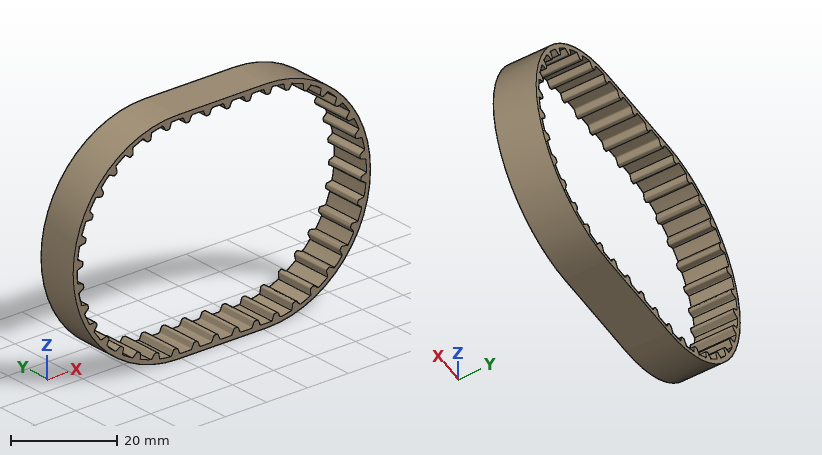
import cadquery as cq
import math

LENGTH = 72.6
HEIGHT = 50.8
BELT_WIDTH = 9.5
BACK_THICKNESS = 1.0

TOOTH_COUNT = 40
TOOTH_HEIGHT = 1.3
TOOTH_ROOT_WIDTH = 2.1
FLANK_ANGLE = 25.0
TOOTH_RADIUS = 0.35
FOOT_DEPTH = 0.35
REFERENCE_TOOTH_X = 1.45

STRAIGHT = LENGTH - HEIGHT
INNER_HEIGHT = HEIGHT - 2 * BACK_THICKNESS
INNER_RADIUS = INNER_HEIGHT / 2
HALF_TURN_LENGTH = math.pi * INNER_RADIUS
TOOTH_PITCH = 2 * (STRAIGHT + HALF_TURN_LENGTH) / TOOTH_COUNT


def obround(height):
    """Solid obround of the given height around the belt path, spanning the belt width."""
    return (
        cq.Workplane("XZ")
        .slot2D(STRAIGHT + height, height)
        .extrude(BELT_WIDTH / 2, both=True)
    )


def upright_tooth():
    """Tooth pointing down (-Z) on a thin foot, root line on the origin, root and tip rounded."""
    root_half = TOOTH_ROOT_WIDTH / 2
    tip_half = root_half - TOOTH_HEIGHT * math.tan(math.radians(FLANK_ANGLE))
    foot_half = root_half + TOOTH_RADIUS
    return (
        cq.Workplane("XZ")
        .moveTo(-foot_half, FOOT_DEPTH)
        .lineTo(-foot_half, 0)
        .lineTo(-root_half, 0)
        .lineTo(-tip_half, -TOOTH_HEIGHT)
        .lineTo(tip_half, -TOOTH_HEIGHT)
        .lineTo(root_half, 0)
        .lineTo(foot_half, 0)
        .lineTo(foot_half, FOOT_DEPTH)
        .close()
        .extrude(BELT_WIDTH / 2, both=True)
        .edges("|Y and (not <X) and (not >X)")
        .fillet(TOOTH_RADIUS)
    )


def turned(shape, angle):
    """Shape turned clockwise about the Y axis, as seen looking toward +Y."""
    return shape.rotate(cq.Vector(0, 0, 0), cq.Vector(0, 1, 0), angle)


def half_belt_station(distance):
    """Place on the inner face, clockwise from the left end of the upper straight.

    Covers the upper straight and the right-hand turn. Returns x, z and the clockwise
    turn in degrees.
    """
    if distance <= STRAIGHT:
        return distance - STRAIGHT / 2, INNER_RADIUS, 0.0
    turn = (distance - STRAIGHT) / INNER_RADIUS
    x = STRAIGHT / 2 + INNER_RADIUS * math.sin(turn)
    z = INNER_RADIUS * math.cos(turn)
    return x, z, math.degrees(turn)


def belt_teeth():
    """All teeth, evenly spaced along the inner face."""
    tooth = upright_tooth().val()
    first_distance = (STRAIGHT / 2 + REFERENCE_TOOTH_X) % TOOTH_PITCH
    teeth = []
    for index in range(TOOTH_COUNT // 2):
        x, z, turn = half_belt_station(first_distance + index * TOOTH_PITCH)
        placed = turned(tooth, turn).translate(cq.Vector(x, 0, z))
        teeth.append(placed)
        teeth.append(turned(placed, 180))
    return teeth


belt_back = obround(HEIGHT).cut(obround(INNER_HEIGHT))
toothed_belt = belt_back.val().fuse(*belt_teeth()).clean()
result = cq.Workplane(toothed_belt.Solids()[0])